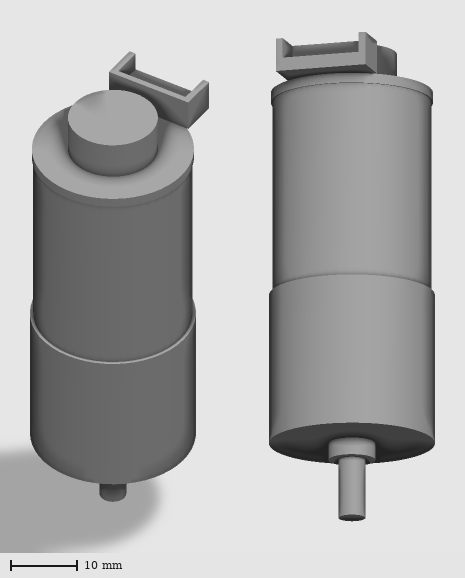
import cadquery as cq

total_height = 72.0
overall_depth = 28.5

shaft_diameter = 4.0
shaft_length = 9.0
bearing_diameter = 7.05
bearing_length = 2.6
gearbox_diameter = 25.0
gearbox_length = 23.05
motor_diameter = 24.0
flange_diameter = 24.4
flange_thickness = 1.5
boss_diameter = 13.5
boss_height = 6.0

holder_width = 14.1
holder_depth = 5.9
holder_height = 5.05
holder_outer_y = overall_depth - gearbox_diameter / 2
holder_side_wall = 1.1
holder_back_wall = 0.9
holder_floor = 2.0

motor_length = (
    total_height - shaft_length - bearing_length - gearbox_length - flange_thickness - boss_height
)
flange_top_z = total_height - boss_height


def make_turned_body():
    """Stack the coaxial cylinders from the shaft tip upward."""
    sections = [
        (shaft_diameter, shaft_length),
        (bearing_diameter, bearing_length),
        (gearbox_diameter, gearbox_length),
        (motor_diameter, motor_length),
        (flange_diameter, flange_thickness),
        (boss_diameter, boss_height),
    ]
    body = cq.Workplane("XY")
    base_z = 0.0
    for diameter, length in sections:
        section = cq.Workplane("XY").workplane(offset=base_z).circle(diameter / 2).extrude(length)
        body = body.union(section)
        base_z += length
    return body


def make_holder():
    """Box with a pocket that leaves two side walls, a back wall and a floor."""
    inner_y = holder_outer_y - holder_depth
    box = cq.Workplane("XY").box(
        holder_width, holder_depth, holder_height, centered=(True, False, False)
    )
    pocket = cq.Workplane("XY").box(
        holder_width - 2 * holder_side_wall,
        holder_depth - holder_back_wall,
        holder_height - holder_floor,
        centered=(True, False, False),
    )
    pocket = pocket.translate((0, holder_back_wall, holder_floor))
    return box.cut(pocket).translate((0, inner_y, flange_top_z))


result = make_turned_body().union(make_holder())